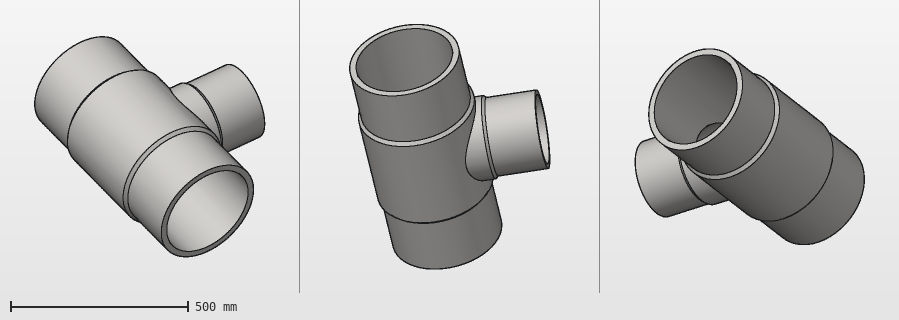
import cadquery as cq

run_length = 638.0
run_diameter = 315.0
run_bore = 277.5

sleeve_diameter = 333.5
sleeve_length = 301.0
sleeve_bevel_length = 10.0

total_width = 502.0
branch_diameter = 225.0
branch_bore = 198.5
branch_reach = total_width - sleeve_diameter / 2

collar_diameter = 238.5
branch_exposed_length = 143.5
collar_bevel_length = 9.0
collar_reach = branch_reach - branch_exposed_length


def run_cylinder(diameter, length):
    """Cylinder along X, centred on the origin."""
    return cq.Workplane("YZ").circle(diameter / 2).extrude(length / 2, both=True)


def branch_cylinder(diameter, length):
    """Cylinder from the main axis out along +Y."""
    return cq.Workplane("XZ").circle(diameter / 2).extrude(-length)


def make_sleeve():
    """Sleeve with both ends tapering down to the main pipe surface."""
    half_length = sleeve_length / 2
    shoulder = half_length - sleeve_bevel_length
    profile = [
        (-half_length, 0),
        (-half_length, run_diameter / 2),
        (-shoulder, sleeve_diameter / 2),
        (shoulder, sleeve_diameter / 2),
        (half_length, run_diameter / 2),
        (half_length, 0),
    ]
    return cq.Workplane("XY").polyline(profile).close().revolve(360, (0, 0), (1, 0))


def make_collar():
    """Collar with its outer end tapering down to the branch surface."""
    profile = [
        (0, 0),
        (collar_diameter / 2, 0),
        (collar_diameter / 2, collar_reach - collar_bevel_length),
        (branch_diameter / 2, collar_reach),
        (0, collar_reach),
    ]
    return cq.Workplane("XY").polyline(profile).close().revolve(360, (0, 0), (0, 1))


outer_body = (
    run_cylinder(run_diameter, run_length)
    .union(make_sleeve())
    .union(make_collar())
    .union(branch_cylinder(branch_diameter, branch_reach))
)

result = outer_body.cut(run_cylinder(run_bore, run_length)).cut(
    branch_cylinder(branch_bore, branch_reach)
)